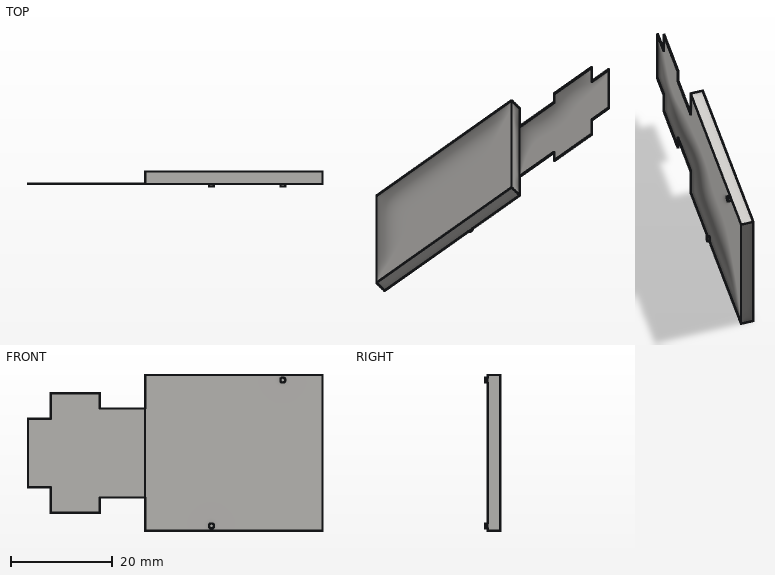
import cadquery as cq

body_length = 34.8
body_height = 30.6
body_thickness = 2.5

tail_thickness = 0.15
neck_length = 8.9
neck_height = 17.5
shoulder_length = 9.65
shoulder_height = 23.5
tip_length = 4.45
tip_height = 13.5

pin_diameter = 1.0
pin_projection = 0.5
pin_edge_offset = 1.0
upper_pin_x = 27.0
lower_pin_x = 13.0


def plate(x_start, length, height, thickness):
    """Plate centred on Z = 0, growing from the front face toward +Y."""
    block = cq.Workplane("XY").box(length, thickness, height, centered=(False, False, True))
    return block.translate((x_start, 0, 0))


def make_tail():
    """Stepped tail: neck, shoulder and tip in turn, from the body toward -X."""
    neck_start = -neck_length
    shoulder_start = neck_start - shoulder_length
    tip_start = shoulder_start - tip_length
    neck = plate(neck_start, neck_length, neck_height, tail_thickness)
    shoulder = plate(shoulder_start, shoulder_length, shoulder_height, tail_thickness)
    tip = plate(tip_start, tip_length, tip_height, tail_thickness)
    return neck.union(shoulder).union(tip)


def make_pins():
    """Round pins standing out of the front face toward -Y."""
    pin_z = body_height / 2 - pin_edge_offset
    pin_centres = [(upper_pin_x, pin_z), (lower_pin_x, -pin_z)]
    return cq.Workplane("XZ").pushPoints(pin_centres).circle(pin_diameter / 2).extrude(pin_projection)


body = plate(0, body_length, body_height, body_thickness)
result = body.union(make_tail()).union(make_pins())